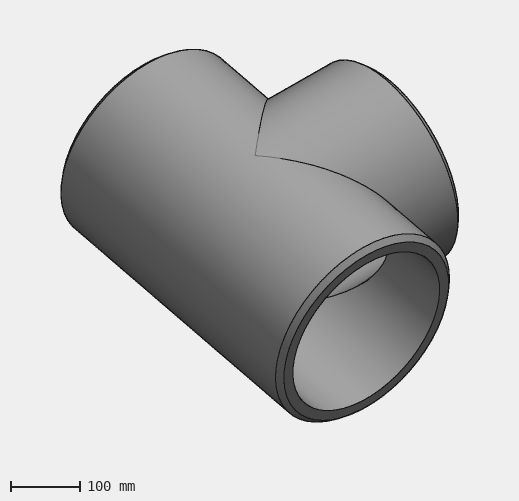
import cadquery as cq

run_length = 508.0
branch_reach = run_length / 2
outer_radius = 324.0 / 2
bore_radius = 273.5 / 2
bevel_size = 8.5

origin = cq.Vector(0, 0, 0)
run_start = cq.Vector(-run_length / 2, 0, 0)
run_direction = cq.Vector(1, 0, 0)
branch_direction = cq.Vector(0, 1, 0)


def cylinder(radius, length, start, direction):
    solid = cq.Solid.makeCylinder(radius, length, start, direction)
    return cq.Workplane(solid)


run = cylinder(outer_radius, run_length, run_start, run_direction)
run = run.faces("<X or >X").chamfer(bevel_size)
branch = cylinder(outer_radius, branch_reach, origin, branch_direction)
branch = branch.faces(">Y").chamfer(bevel_size)

run_bore = cylinder(bore_radius, run_length, run_start, run_direction)
branch_bore = cylinder(bore_radius, branch_reach, origin, branch_direction)

result = run.union(branch).cut(run_bore).cut(branch_bore)